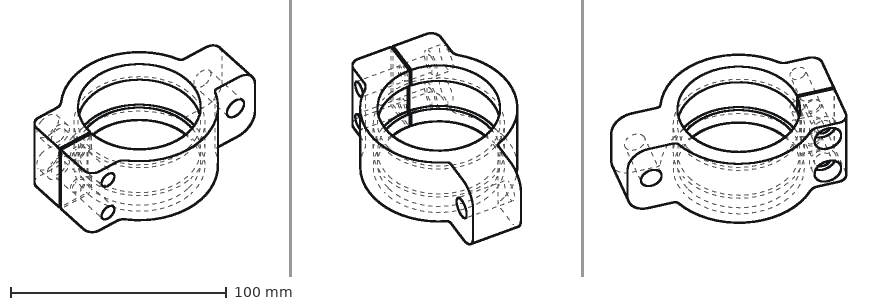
import cadquery as cq

height = 38.0
ring_radius = 36.5
bore_radius = 28.4
total_length = 104.5
front_y = -46.4
back_y = front_y + total_length

relief_depth = 2.0
relief_height = 18.0
bore_chamfer = 2.0

block_width = 45.7
block_radius = 5.0
split_width = 1.0

screw_y = front_y + 10.3
screw_spacing = 21.0
clearance_diameter = 8.2
tapped_diameter = 7.5
head_diameter = 13.0
head_seat_x = -14.8

lug_width = 25.1
lug_corner_radius = 10.0
lug_root_radius = 2.0
lug_hole_diameter = 10.0
lug_hole_y = back_y - 11.5


def block(width, y_start, y_end):
    """Full-height block centred on X, between two Y positions."""
    length = y_end - y_start
    base = cq.Workplane("XY", origin=(0, y_start, 0))
    return base.box(width, length, height, centered=(True, False, False))


def vertical_edges(body, half_width, y_min, y_max):
    """Vertical edges lying on the planes X = +/- half_width within a Y range."""
    tolerance = 0.01
    picked = [
        edge
        for edge in body.edges("|Z").vals()
        if abs(abs(edge.Center().x) - half_width) < tolerance and y_min < edge.Center().y < y_max
    ]
    return body.newObject(picked)


def cylinder_x(diameter, x_start, x_end, y, z):
    """Cylinder along X between two X positions."""
    plane = cq.Workplane("YZ", origin=(x_start, y, z))
    return plane.circle(diameter / 2).extrude(x_end - x_start)


lug = block(lug_width, 0, back_y).edges("|X and >Y").fillet(lug_corner_radius)
clamp_block = block(block_width, front_y, 0).edges("|Z and <Y").fillet(block_radius)
body = cq.Workplane("XY").circle(ring_radius).extrude(height).union(clamp_block).union(lug)

body = vertical_edges(body, block_width / 2, -ring_radius, 0).fillet(block_radius)
body = vertical_edges(body, lug_width / 2, 0, ring_radius).fillet(lug_root_radius)

bore = cq.Workplane("XY").circle(bore_radius).extrude(height)
lead_in = cq.Workplane(cq.Solid.makeCone(bore_radius + bore_chamfer, bore_radius, bore_chamfer))
relief = (
    cq.Workplane("XY", origin=(0, 0, (height - relief_height) / 2))
    .circle(bore_radius + relief_depth)
    .extrude(relief_height)
)
body = body.cut(bore).cut(lead_in).cut(relief).cut(block(split_width, front_y, 0))

for side in (-1, 1):
    screw_z = height / 2 + side * screw_spacing / 2
    body = body.cut(cylinder_x(head_diameter, -ring_radius, head_seat_x, screw_y, screw_z))
    body = body.cut(cylinder_x(clearance_diameter, -ring_radius, 0, screw_y, screw_z))
    body = body.cut(cylinder_x(tapped_diameter, 0, ring_radius, screw_y, screw_z))

lug_hole = cylinder_x(lug_hole_diameter, -lug_width / 2, lug_width / 2, lug_hole_y, height / 2)
result = body.cut(lug_hole)